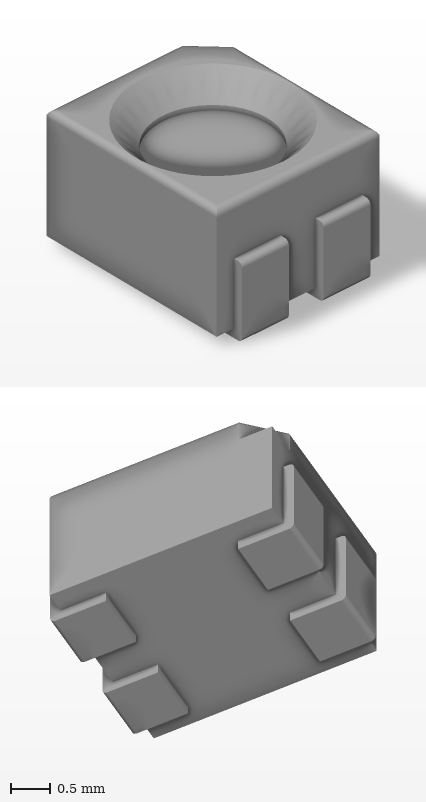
import cadquery as cq

length = 3.5
width = 2.8
height = 2.05

lead_thickness = 0.15
lead_width = 0.8
lead_height = 1.2
foot_length = 0.8
lead_pitch = 1.4
lead_rounding = 0.075

body_length = length - 2 * lead_thickness
body_bottom = lead_thickness
body_height = height - body_bottom
top_rounding = 0.1

notch_leg = 0.48
notch_depth = 0.378

cup_top_diameter = 2.632
cup_floor_diameter = 1.865
cone_depth = 0.378
well_depth = 0.085


def make_body():
    """Block with a triangular corner notch and a rounded top rim."""
    block = cq.Workplane("XY").workplane(offset=body_bottom).box(
        body_length, width, body_height, centered=(True, True, False)
    )
    corner_x = -body_length / 2
    corner_y = width / 2
    notch = (
        cq.Workplane("XY")
        .workplane(offset=height - notch_depth)
        .moveTo(corner_x, corner_y)
        .lineTo(corner_x + notch_leg, corner_y)
        .lineTo(corner_x, corner_y - notch_leg)
        .close()
        .extrude(notch_depth)
    )
    return block.cut(notch).faces(">Z").edges().fillet(top_rounding)


def make_cup():
    """Revolved volume removed to form the reflector cup."""
    cone_bottom = height - cone_depth
    floor = cone_bottom - well_depth
    return (
        cq.Workplane("XZ")
        .moveTo(0, floor)
        .lineTo(cup_floor_diameter / 2, floor)
        .lineTo(cup_floor_diameter / 2, cone_bottom)
        .lineTo(cup_top_diameter / 2, height)
        .lineTo(0, height)
        .close()
        .revolve(360, (0, 0, 0), (0, 1, 0))
    )


def make_lead(y_center):
    """Lead on the -X end: upright strip with a foot turned under the body."""
    outer_x = -length / 2
    return (
        cq.Workplane("XZ", origin=(0, y_center, 0))
        .moveTo(outer_x, 0)
        .lineTo(outer_x + foot_length, 0)
        .lineTo(outer_x + foot_length, lead_thickness)
        .lineTo(outer_x + lead_thickness, lead_thickness)
        .lineTo(outer_x + lead_thickness, lead_height)
        .lineTo(outer_x, lead_height)
        .close()
        .extrude(lead_width / 2, both=True)
        .edges("|Y and <X")
        .fillet(lead_rounding)
    )


result = make_body().cut(make_cup())
for y_center in (-lead_pitch / 2, lead_pitch / 2):
    lead = make_lead(y_center)
    result = result.union(lead).union(lead.mirror("YZ"))